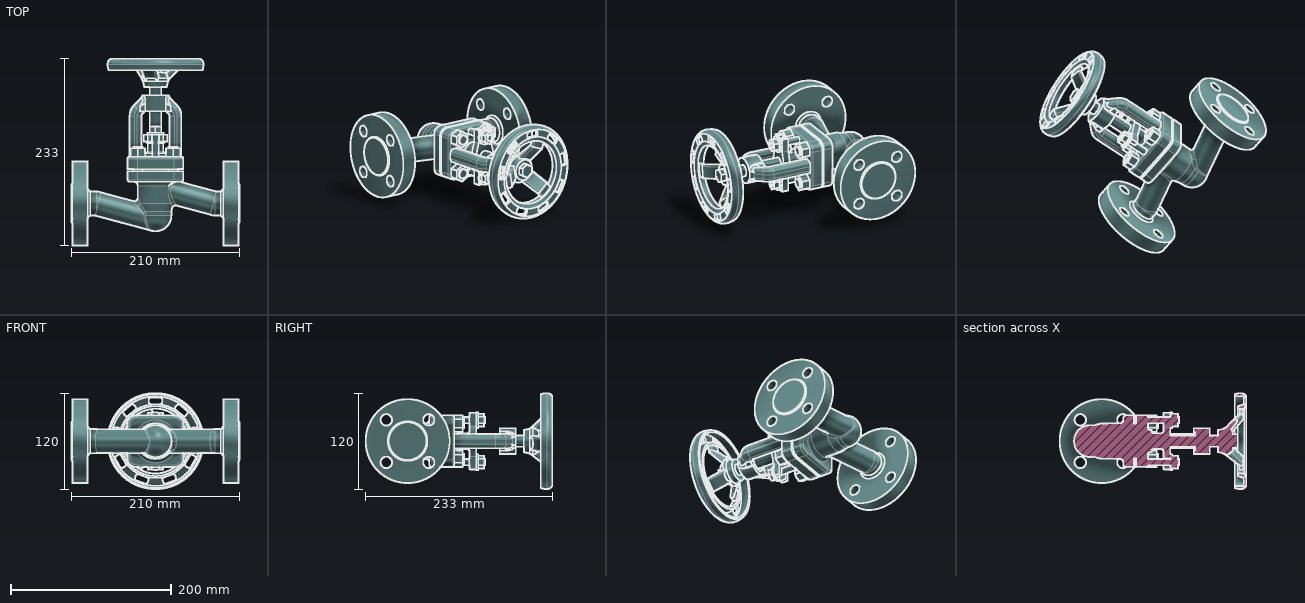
import cadquery as cq
import math


face_to_face = 210.0
flange_dia = 105.0
flange_thick = 19.0
raised_height = 1.5
raised_dia = 49.5
raised_chamfer = 1.2
bolt_circle_dia = 75.0
bolt_hole_dia = 14.0
flange_back_x = face_to_face / 2 - raised_height - flange_thick

pipe_radius = 15.0
stub_radius = 15.2
stub_root_fillet = 3.0
pipe_start_x = 74.0
pipe_slope_deg = 15.0
ball_radius = 20.0
ball_y = -14.8
cone_bottom_y = -9.5
cone_top_y = 0.0
neck_radius = 22.3
neck_flare_radius = 4.5
pipe_junction_fillet = 4.0

cover_half_x = 34.9
cover_half_z = 32.3
cover_straight = 23.0
body_flange_bottom_y = 26.9
body_flange_top_y = 40.4
bonnet_bottom_y = 42.8
bonnet_top_y = 58.0
body_flange_fillet = 3.0
bonnet_fillet = 2.0
gasket_radius = 22.0

stud_offset = 22.0
stud_radius = 6.0
stud_top_y = 70.9
cover_nut_flats = 18.0
cover_nut_height = 10.9

gland_base_radius = 14.0
gland_base_top_y = 62.8
gland_base_fillet = 2.4
gland_radius = 9.9
gland_flare_radius = 12.0
bridge_bottom_y = 77.0
bridge_top_y = 85.8
bridge_half_length = 35.6
bridge_half_width = 14.8
bridge_tip_half_width = 9.6
bridge_prong_z = 19.0
bridge_fillet = 1.5
bridge_slot_width = 9.0
gland_bolt_z = 26.2
gland_bolt_radius = 4.0
washer_radius = 10.0
washer_thick = 2.5
gland_nut_flats = 13.9
gland_nut_height = 7.2
gland_bolt_projection = 1.0

yoke_head_radius = 16.3
yoke_head_bottom_y = 114.7
yoke_head_top_y = 135.0
head_recess_radius = 11.0
head_recess_depth = 2.0
arm_x = 24.8
arm_width = 15.2
arm_depth = 17.8
arm_corner = 5.9
arm_bend_y = 109.4
arm_bend_radius = 10.8
arm_bend_deg = 45.0
arm_slant_length = 15.0
flare_inner_x = 12.5
flare_inner_half_widths = (7.5, 12.0)
flare_inner_heights = (141.0, 125.0)
flare_outer_x = 19.5
flare_outer_half_widths = (4.0, 8.8)
flare_outer_heights = (129.5, 121.0)
stem_radius = 7.3

wheel_radius = 60.0
wheel_top_y = 180.5
wheel_bottom_y = 165.8
rim_crown_y = 173.5
rim_top_radius = 55.5
rim_bottom_radius = 58.5
rim_inner_radius = 55.8
web_thick = 3.5
ring_outer_radius = 46.0
ring_tip_radius = 43.6
ring_inner_radius = 40.3
ring_bottom_y = 170.0
ring_top_y = 178.0
slot_count = 9
slot_length = 16.5
slot_width = 8.0
slot_radius = 50.2
slot_first_deg = 90.0
slot_corner = 2.5
spoke_count = 3
spoke_first_deg = 110.0
spoke_width = 18.5
spoke_fillet = 2.0
spoke_thick = 4.5
spoke_root_height = 10.0
spoke_start_radius = 12.0
spoke_end_radius = 42.0
spoke_slope_intercept = 138.7
spoke_level_y = 172.0
hub_bottom_y = 145.0
hub_top_y = 163.5
hub_bottom_radius = 14.0
hub_top_radius = 13.0
hub_collar_radius = 15.8
hub_collar_y = 152.5
hub_shoulder_y = 156.0
hub_shoulder_radius = 18.0
wheel_nut_flats = 15.0
wheel_nut_top_y = 170.0


def y_cylinder(radius, y_from, y_to, x=0, z=0):
    """Cylinder parallel to the stem."""
    plane = cq.Workplane("XZ", origin=(0, y_from, 0))
    return plane.center(x, z).circle(radius).extrude(y_from - y_to)


def y_hexagon(across_flats, y_from, y_to, x=0, z=0):
    """Hexagonal prism parallel to the stem, with corners pointing along +Z and -Z."""
    corner_dia = across_flats / math.cos(math.pi / 6)
    prism = cq.Workplane("XZ", origin=(0, y_from, 0)).polygon(6, corner_dia).extrude(y_from - y_to)
    return prism.rotate((0, 0, 0), (0, 1, 0), 30).translate((x, 0, z))


def revolve_about_stem(profile):
    return profile.close().revolve(360, (0, 0, 0), (0, 1, 0))


def mirrored_x(shape):
    """The shape together with its mirror image across the stem."""
    return shape.union(shape.mirror("YZ"))


def pipe_flange():
    """Inlet flange on the -X side, with its neck stub."""
    back = -flange_back_x
    face = back - flange_thick
    disc = cq.Workplane("YZ", origin=(back, 0, 0)).circle(flange_dia / 2).extrude(-flange_thick)
    hole_pitch = bolt_circle_dia / math.sqrt(2)
    disc = (
        disc.faces("<X").workplane(origin=(face, 0, 0))
        .rect(hole_pitch, hole_pitch, forConstruction=True).vertices()
        .hole(bolt_hole_dia)
    )
    raised = cq.Workplane("YZ", origin=(face, 0, 0)).circle(raised_dia / 2).extrude(-raised_height)
    raised = raised.faces("<X").chamfer(raised_chamfer)
    flare_start = back + stub_root_fillet
    stub = (
        cq.Workplane("XY").moveTo(back, 0)
        .lineTo(back, stub_radius + stub_root_fillet)
        .lineTo(flare_start, stub_radius)
        .lineTo(-pipe_start_x, stub_radius)
        .threePointArc((-pipe_start_x + stub_radius * math.sin(math.pi / 4),
                        stub_radius * math.cos(math.pi / 4)),
                       (-pipe_start_x + stub_radius, 0))
        .close().revolve(360, (0, 0, 0), (1, 0, 0))
    )
    return disc.union(raised).union(stub)


def inclined_pipe():
    """Inlet pipe sloping down from the flange stub to the ball."""
    slope = math.radians(pipe_slope_deg)
    direction = cq.Vector(math.cos(slope), -math.sin(slope), 0)
    length = pipe_start_x / math.cos(slope)
    pipe = cq.Solid.makeCylinder(pipe_radius, length, cq.Vector(-pipe_start_x, 0, 0), direction)
    return cq.Workplane(pipe)


def body_shell():
    """Ball end, cone and straight neck, running up inside the body flange."""
    profile = (
        cq.Workplane("XY").moveTo(0, ball_y - ball_radius)
        .threePointArc((ball_radius * math.sin(math.pi / 4),
                        ball_y - ball_radius * math.cos(math.pi / 4)),
                       (ball_radius, ball_y))
        .lineTo(ball_radius, cone_bottom_y)
        .lineTo(neck_radius, cone_top_y)
        .lineTo(neck_radius, body_flange_top_y)
        .lineTo(0, body_flange_top_y)
    )
    return revolve_about_stem(profile)


def neck_flare():
    """Concave flare joining the neck to the underside of the body flange."""
    profile = (
        cq.Workplane("XY").moveTo(0, body_flange_bottom_y - neck_flare_radius)
        .lineTo(neck_radius, body_flange_bottom_y - neck_flare_radius)
        .radiusArc((neck_radius + neck_flare_radius, body_flange_bottom_y), neck_flare_radius)
        .lineTo(0, body_flange_bottom_y)
    )
    return revolve_about_stem(profile)


def cover_plate(y_from, y_to):
    """Rectangular flange whose corners are quarter ellipses."""
    corner_x = cover_half_x - cover_straight
    corner_z = cover_half_z - cover_straight
    length = y_to - y_from

    def bar(width, depth):
        return cq.Workplane("XZ", origin=(0, y_from, 0)).rect(width, depth).extrude(-length)

    plate = bar(2 * cover_half_x, 2 * cover_straight).union(bar(2 * cover_straight, 2 * cover_half_z))
    corners = (
        cq.Workplane("XZ", origin=(0, y_from, 0))
        .rect(2 * cover_straight, 2 * cover_straight, forConstruction=True).vertices()
        .ellipse(corner_x, corner_z).extrude(-length)
    )
    return plate.union(corners).clean()


def cover_joint():
    """Body flange, gasket, bonnet flange, studs and nuts."""
    body_flange = cover_plate(body_flange_bottom_y, body_flange_top_y)
    body_flange = body_flange.faces("<Y").edges().fillet(body_flange_fillet)
    bonnet = cover_plate(bonnet_bottom_y, bonnet_top_y)
    bonnet = bonnet.faces(">Y").edges().fillet(bonnet_fillet)
    joint = body_flange.union(y_cylinder(gasket_radius, body_flange_top_y, bonnet_bottom_y)).union(bonnet)
    for x in (-stud_offset, stud_offset):
        for z in (-stud_offset, stud_offset):
            joint = joint.union(y_cylinder(stud_radius, body_flange_top_y, stud_top_y, x, z))
            joint = joint.union(
                y_hexagon(cover_nut_flats, bonnet_top_y, bonnet_top_y + cover_nut_height, x, z))
    return joint


def gland():
    """Stuffing box and the gland sleeve around the stem."""
    flare = gland_flare_radius - gland_radius
    profile = (
        cq.Workplane("XY").moveTo(0, bonnet_top_y)
        .lineTo(gland_base_radius + gland_base_fillet, bonnet_top_y)
        .radiusArc((gland_base_radius, bonnet_top_y + gland_base_fillet), gland_base_fillet)
        .lineTo(gland_base_radius, gland_base_top_y)
        .lineTo(gland_radius + gland_base_fillet, gland_base_top_y)
        .radiusArc((gland_radius, gland_base_top_y + gland_base_fillet), gland_base_fillet)
        .lineTo(gland_radius, bridge_bottom_y - flare)
        .lineTo(gland_flare_radius, bridge_bottom_y)
        .lineTo(0, bridge_bottom_y)
    )
    return revolve_about_stem(profile)


def gland_bridge():
    """Lozenge-shaped bridge with a forked slot at each end."""
    tip = bridge_tip_half_width
    end = bridge_half_length
    bridge = (
        cq.Workplane("XZ", origin=(0, bridge_bottom_y, 0))
        .moveTo(bridge_half_width, 0)
        .lineTo(tip, bridge_prong_z).lineTo(tip, end).lineTo(-tip, end).lineTo(-tip, bridge_prong_z)
        .lineTo(-bridge_half_width, 0)
        .lineTo(-tip, -bridge_prong_z).lineTo(-tip, -end).lineTo(tip, -end).lineTo(tip, -bridge_prong_z)
        .close().extrude(bridge_bottom_y - bridge_top_y)
    )
    bridge = bridge.faces(">Z or <Z").edges("<Y").fillet(bridge_fillet)
    slot_depth = end - gland_bolt_z
    for side in (-1, 1):
        bolt_z = side * gland_bolt_z
        mouth = (
            cq.Workplane("XZ", origin=(0, bridge_bottom_y, bolt_z + side * slot_depth / 2))
            .rect(bridge_slot_width, slot_depth).extrude(bridge_bottom_y - bridge_top_y)
        )
        root = y_cylinder(bridge_slot_width / 2, bridge_bottom_y, bridge_top_y, z=bolt_z)
        bridge = bridge.cut(mouth).cut(root)
    return bridge


def gland_bolts():
    washer_top = bridge_top_y + washer_thick
    nut_top = washer_top + gland_nut_height
    bolts = cq.Workplane("XY")
    for z in (-gland_bolt_z, gland_bolt_z):
        bolts = bolts.union(y_cylinder(gland_bolt_radius, bonnet_top_y, nut_top + gland_bolt_projection, z=z))
        bolts = bolts.union(y_cylinder(washer_radius, bridge_top_y, washer_top, z=z))
        bolts = bolts.union(y_hexagon(gland_nut_flats, washer_top, nut_top, z=z))
    return bolts


def yoke_arm():
    """Arm on the -X side: rises from the bonnet, then bends inward to the yoke head."""
    bend = math.radians(arm_bend_deg)
    centre_x = arm_bend_radius - arm_x

    def on_bend(angle):
        return (centre_x - arm_bend_radius * math.cos(angle), arm_bend_y + arm_bend_radius * math.sin(angle))

    bend_end = on_bend(bend)
    slant_end = (bend_end[0] + arm_slant_length * math.sin(bend),
                 bend_end[1] + arm_slant_length * math.cos(bend))
    path = (
        cq.Workplane("XY").moveTo(-arm_x, bonnet_top_y)
        .lineTo(-arm_x, arm_bend_y)
        .threePointArc(on_bend(bend / 2), bend_end)
        .lineTo(*slant_end)
    )
    section = cq.Sketch().rect(arm_width, arm_depth).vertices().fillet(arm_corner)
    return cq.Workplane("XZ", origin=(-arm_x, bonnet_top_y, 0)).placeSketch(section).sweep(path)


def yoke_flare():
    """Widening of the -X arm where it runs into the yoke head."""
    def section(x, half_widths, heights):
        top, middle = half_widths
        top_y, middle_y = heights
        return [cq.Vector(x, top_y, top), cq.Vector(x, middle_y, middle),
                cq.Vector(x, yoke_head_bottom_y, middle), cq.Vector(x, yoke_head_bottom_y, -middle),
                cq.Vector(x, middle_y, -middle), cq.Vector(x, top_y, -top)]

    inner = section(-flare_inner_x, flare_inner_half_widths, flare_inner_heights)
    outer = section(-flare_outer_x, flare_outer_half_widths, flare_outer_heights)
    wires = [cq.Wire.makePolygon(points, close=True) for points in (inner, outer)]
    return cq.Workplane(cq.Solid.makeLoft(wires, True))


def yoke():
    head = y_cylinder(yoke_head_radius, yoke_head_bottom_y, yoke_head_top_y)
    above_head = y_cylinder(arm_x, yoke_head_top_y, hub_bottom_y)
    recess = y_cylinder(head_recess_radius, yoke_head_bottom_y, yoke_head_bottom_y + head_recess_depth)
    return mirrored_x(yoke_arm().union(yoke_flare())).cut(above_head).union(head).cut(recess)


def wheel_rim():
    """Channel-section rim, open toward the valve, with slots through its web."""
    web_bottom = wheel_top_y - web_thick
    rim_step = wheel_radius - rim_bottom_radius
    rim_lower_arc = (rim_step ** 2 + (rim_crown_y - wheel_bottom_y) ** 2) / (2 * rim_step)
    profile = (
        cq.Workplane("XY").moveTo(rim_bottom_radius, wheel_bottom_y)
        .radiusArc((wheel_radius, rim_crown_y), -rim_lower_arc)
        .tangentArcPoint((rim_top_radius, wheel_top_y), relative=False)
        .lineTo(ring_outer_radius, wheel_top_y)
        .lineTo(ring_inner_radius, ring_top_y)
        .lineTo(ring_inner_radius, ring_bottom_y)
        .lineTo(ring_tip_radius, ring_bottom_y)
        .lineTo(ring_outer_radius, web_bottom)
        .lineTo(rim_inner_radius, web_bottom)
        .lineTo(rim_inner_radius, wheel_bottom_y)
    )
    rim = revolve_about_stem(profile)
    slot = (
        cq.Workplane("XY").box(slot_width, wheel_top_y - wheel_bottom_y, slot_length)
        .edges("|Y").fillet(slot_corner)
        .translate((slot_radius, wheel_top_y, 0))
    )
    for i in range(slot_count):
        angle = slot_first_deg + i * 360 / slot_count
        rim = rim.cut(slot.rotate((0, 0, 0), (0, 1, 0), -angle))
    return rim


def wheel_spoke():
    """Spoke along +X: slopes up at 45 degrees from the hub, then runs level into the inner ring."""
    bend_radius = spoke_level_y - spoke_slope_intercept
    top_shift = spoke_thick * math.tan(math.pi / 8)
    top_y = spoke_level_y + spoke_thick
    root_y = spoke_start_radius + spoke_slope_intercept
    spoke = (
        cq.Workplane("XY").moveTo(spoke_start_radius, root_y)
        .lineTo(bend_radius, spoke_level_y)
        .lineTo(spoke_end_radius, spoke_level_y)
        .lineTo(spoke_end_radius, top_y)
        .lineTo(bend_radius - top_shift, top_y)
        .lineTo(spoke_start_radius, root_y + spoke_root_height)
        .close().extrude(spoke_width / 2, both=True)
    )
    return spoke.faces("<Z or >Z").edges("not |Y").fillet(spoke_fillet)


def wheel_hub():
    profile = (
        cq.Workplane("XY").moveTo(0, hub_bottom_y)
        .lineTo(hub_bottom_radius, hub_bottom_y)
        .lineTo(hub_collar_radius, hub_collar_y)
        .lineTo(hub_shoulder_radius, hub_shoulder_y)
        .lineTo(hub_top_radius, hub_top_y)
        .lineTo(0, hub_top_y)
    )
    return revolve_about_stem(profile).union(y_hexagon(wheel_nut_flats, hub_top_y, wheel_nut_top_y))


def handwheel():
    wheel = wheel_rim().union(wheel_hub())
    spoke = wheel_spoke()
    for i in range(spoke_count):
        angle = spoke_first_deg + i * 360 / spoke_count
        wheel = wheel.union(spoke.rotate((0, 0, 0), (0, 1, 0), -angle))
    return wheel


def valve_body():
    """Body shell with both pipes and both flanges."""
    inlet_pipe = inclined_pipe()
    outlet_pipe = inlet_pipe.rotate((0, 0, 0), (0, 0, 1), 180)
    shell = body_shell()
    body = shell
    for pipe in (inlet_pipe, outlet_pipe):
        joined = shell.union(pipe)
        body = body.union(joined.edges("%BSPLINE").fillet(pipe_junction_fillet))
    return body.union(neck_flare()).union(mirrored_x(pipe_flange()))


stem = y_cylinder(stem_radius, bridge_bottom_y, hub_bottom_y)
result = valve_body()
for assembly in (cover_joint(), gland(), gland_bridge(), gland_bolts(), yoke(), stem, handwheel()):
    result = result.union(assembly)